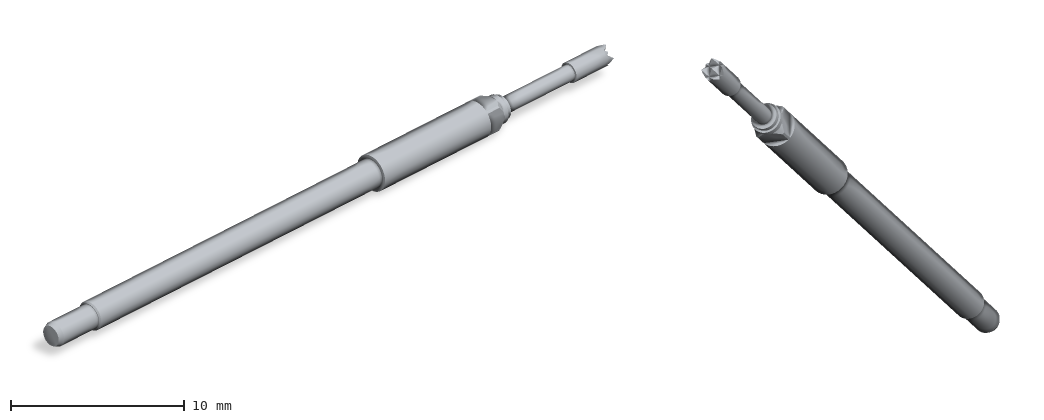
import cadquery as cq

overall_length = 44.3

head_diameter = 1.3
plunger_diameter = 1.0
neck_diameter = 1.55
collar_diameter = 1.8
sleeve_diameter = 2.3
tube_diameter = 1.8
tail_diameter = 1.55

head_end = 2.95
plunger_end = 8.35
neck_end = 8.65
collar_end = 9.0
square_end = 10.28
sleeve_end = 18.75
tube_end = 41.25

square_across_flats = 1.73
square_corner_diameter = sleeve_diameter
square_lead_length = 0.35

tail_chamfer_length = 0.3
tail_chamfer_depth = 0.15
tube_edge_chamfer = 0.1

groove_depth = 0.45
groove_offset = head_diameter / 4
groove_half_width = head_diameter / 4

tip_y = overall_length / 2


def cylinder(diameter, start, end):
    """Round section between two distances back from the crown tip."""
    plane = cq.Workplane("XZ", origin=(0, tip_y - start, 0))
    return plane.circle(diameter / 2).extrude(end - start)


def crown_groove(offset):
    """V-groove along Z across the tip, centred at the given X."""
    return (
        cq.Workplane("XY")
        .moveTo(offset - groove_half_width, tip_y)
        .lineTo(offset, tip_y - groove_depth)
        .lineTo(offset + groove_half_width, tip_y)
        .close()
        .extrude(head_diameter, both=True)
    )


def crown_head():
    head = cylinder(head_diameter, 0, head_end)
    for offset in (-groove_offset, groove_offset):
        groove = crown_groove(offset)
        head = head.cut(groove)
        head = head.cut(groove.rotate((0, 0, 0), (0, 1, 0), 90))
    return head


def square_section():
    """Square with flats facing X and Z; its corners are turned, with a tapered lead at the front."""
    square = (
        cq.Workplane("XZ", origin=(0, tip_y - collar_end, 0))
        .rect(square_across_flats, square_across_flats)
        .extrude(square_end - collar_end)
    )
    lead_depth = (square_corner_diameter - collar_diameter) / 2
    turned_blank = (
        cylinder(square_corner_diameter, collar_end, square_end)
        .faces(">Y")
        .chamfer(square_lead_length, lead_depth)
    )
    return square.intersect(turned_blank)


def tail():
    """Plain end, tapered slightly where it meets the end face."""
    return (
        cylinder(tail_diameter, tube_end, overall_length)
        .faces("<Y")
        .chamfer(tail_chamfer_length, tail_chamfer_depth)
    )


def tube():
    return cylinder(tube_diameter, sleeve_end, tube_end).faces("<Y").chamfer(tube_edge_chamfer)


result = (
    crown_head()
    .union(cylinder(plunger_diameter, head_end, plunger_end))
    .union(cylinder(neck_diameter, plunger_end, neck_end))
    .union(cylinder(collar_diameter, neck_end, collar_end))
    .union(square_section())
    .union(cylinder(sleeve_diameter, square_end, sleeve_end))
    .union(tube())
    .union(tail())
)